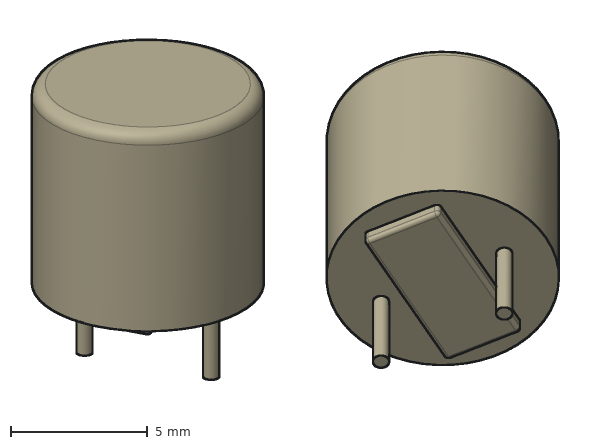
import cadquery as cq

can_diameter = 8.5
can_height = 8.0
can_top_radius = 0.5

pad_size_x = 3.1
pad_size_y = 6.55
pad_height = 0.5
pad_edge_radius = 0.17

lead_diameter = 0.6
lead_pitch = 5.08
lead_length = 3.3

can_bottom_z = pad_height


def make_can():
    """Upright cylinder with a rounded top rim."""
    return (
        cq.Workplane("XY", origin=(0, 0, can_bottom_z))
        .circle(can_diameter / 2)
        .extrude(can_height)
        .faces(">Z")
        .edges()
        .fillet(can_top_radius)
    )


def make_pad():
    """Rectangular pad with rounded corners and a rounded lower edge."""
    return (
        cq.Workplane("XY")
        .rect(pad_size_x, pad_size_y)
        .extrude(pad_height)
        .edges("|Z or <Z")
        .fillet(pad_edge_radius)
    )


def make_leads():
    """Two leads hanging from the underside of the can, in line along X."""
    return (
        cq.Workplane("XY", origin=(0, 0, can_bottom_z))
        .pushPoints([(-lead_pitch / 2, 0), (lead_pitch / 2, 0)])
        .circle(lead_diameter / 2)
        .extrude(-lead_length)
    )


result = make_can().union(make_pad()).union(make_leads())